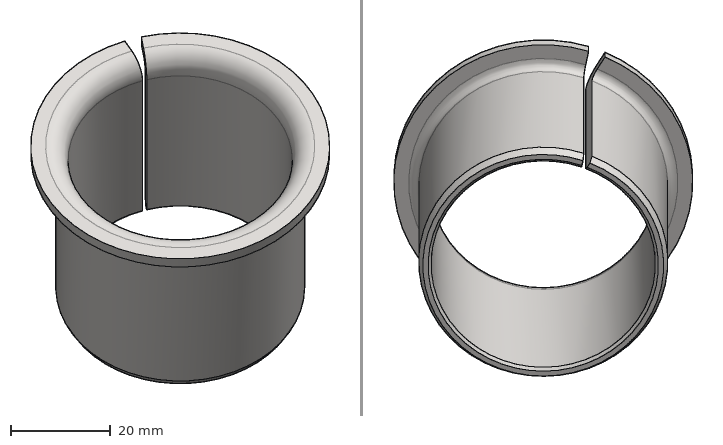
import cadquery as cq
import math

total_height = 45.0
bore_radius = 22.5
wall = 2.5
flange_radius = 30.0

outer_bend_radius = 2.0
inner_bend_radius = outer_bend_radius + wall

lead_in_height = 1.8
lead_in_angle = 25.0
lead_in_depth = lead_in_height * math.tan(math.radians(lead_in_angle))
bore_chamfer = 0.6

split_half_angle = 10.0
split_apex_radius = 20.0

sleeve_radius = bore_radius + wall
flange_underside = total_height - wall
bend_center_radius = sleeve_radius + outer_bend_radius
bend_center_height = flange_underside - outer_bend_radius


def bend_middle(bend_radius):
    """Point halfway along a 90 degree bend arc, as (radius, height)."""
    offset = bend_radius * math.sqrt(0.5)
    return (bend_center_radius - offset, bend_center_height + offset)


def make_flanged_sleeve():
    """Revolve the wall section: sleeve, bend and flange in one piece."""
    section = (
        cq.Workplane("XZ")
        .moveTo(bore_radius + bore_chamfer, 0)
        .lineTo(sleeve_radius - lead_in_depth, 0)
        .lineTo(sleeve_radius, lead_in_height)
        .lineTo(sleeve_radius, bend_center_height)
        .threePointArc(bend_middle(outer_bend_radius), (bend_center_radius, flange_underside))
        .lineTo(flange_radius, flange_underside)
        .lineTo(flange_radius, total_height)
        .lineTo(bend_center_radius, total_height)
        .threePointArc(bend_middle(inner_bend_radius), (bore_radius, bend_center_height))
        .lineTo(bore_radius, bore_chamfer)
        .close()
    )
    sleeve = section.revolve(360, (0, 0, 0), (0, 1, 0))
    return sleeve.rotate((0, 0, 0), (0, 0, 1), 180)


def make_split_cutter():
    """Full-height wedge whose faces open outwards towards -X."""
    reach = flange_radius + wall
    half_width = (reach - split_apex_radius) * math.tan(math.radians(split_half_angle))
    corners = [(-split_apex_radius, 0), (-reach, half_width), (-reach, -half_width)]
    return cq.Workplane("XY").polyline(corners).close().extrude(total_height)


result = make_flanged_sleeve().cut(make_split_cutter())